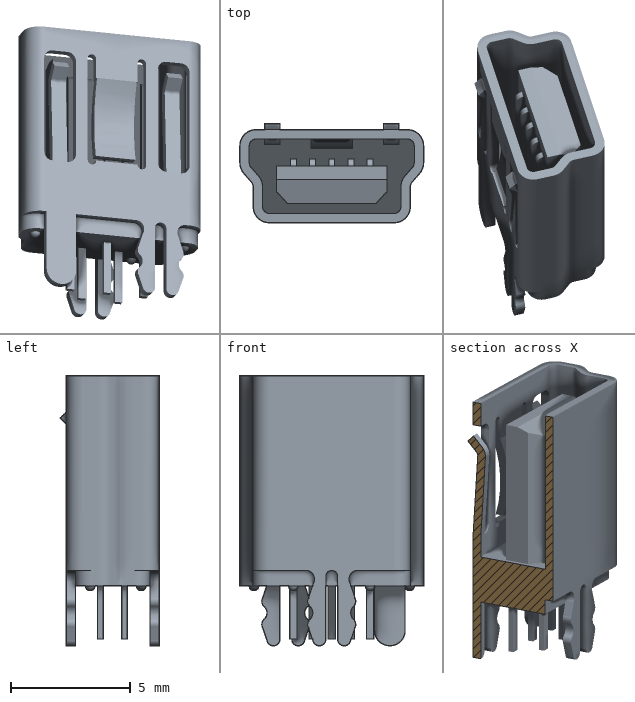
import cadquery as cq
import math


shell_depth = 3.9
half_wide = 7.7 / 2
half_narrow = 3.29
wall = 0.4
top_z = 11.3
bottom_z = 2.51
step_z = 3.15
wide_end_y = 2.26
narrow_start_y = 1.62
corner_radius = 0.68
shoulder_radius = 0.7
waist_radius = 0.3
foot_corner_radius = 0.62
back_inner_y = shell_depth - wall

floor_z = 4.52
tongue_half = 2.32
tongue_back_y = 2.37
tongue_ridge_y = 1.82
tongue_front_y = 0.8
tongue_top_z = 10.49
tongue_slope_drop = 0.34
tongue_chamfer_x = 0.47
tongue_chamfer_y = 0.51

contact_count = 5
contact_pitch = 0.8
contact_width = 0.25
contact_bulge = 0.29
contact_top_z = 9.72
pin_width = 0.32
pin_thickness = 0.25
pin_bottom_z = 0.28
back_pin_y = 2.46
front_pin_y = 1.46

dome_radius = 0.2
dome_places = [(3.25, 2.89), (1.6, 0.76)]

forked_back_x = -1.92
blade_x = 2.43
blade_half = 0.64
fork_gap_half = 0.25
fork_notch_radius = 0.36
fork_notch_x = 1.08
neck_z = 2.61
prong_tip_x = 0.79
prong_tip_z = 0.23
barb_x = 1.01
barb_mid_z = 1.38
barb_peak_rise = 0.51
barb_flank_x = 0.97
barb_flank_rise = 0.62
barb_valley_x = 0.79
barb_inflection_x = 0.89
barb_inflection_rise = 0.25

slit_width = 0.37
slit_top_z = 10.28
slit_bottom_z = 5.42
hook_x = 2.49
hook_width = 0.64
hook_crest_y = 3.28
hook_bend_y = 3.45
hook_tip_y = 4.15
hook_tip_z = 9.53
hook_angle = math.radians(45)
latch_root_width = 1.81
latch_width = 1.74
latch_root_z = 9.27
latch_crest_y = 3.14
latch_crest_z = 6.78
latch_tip_z = 5.88
latch_tip_y = 3.33


def prism_x(profile, width, x=0.0):
    """Extrude a closed YZ profile across X, centred on x."""
    return profile.extrude(width / 2, both=True).translate((x, 0, 0))


def body_block(inset_y, end_radius, z_low, z_high):
    """Stepped outline of the body, with its front and back faces moved inwards by inset_y."""
    front_y = inset_y
    back_y = shell_depth - inset_y
    side = [
        (half_narrow, front_y),
        (half_narrow, narrow_start_y),
        (half_wide, wide_end_y),
        (half_wide, back_y),
    ]
    outline = side + [(-x, y) for x, y in reversed(side)]
    block = cq.Workplane("XY").workplane(offset=z_low).polyline(outline).close().extrude(z_high - z_low)
    radii = [end_radius, waist_radius, shoulder_radius, end_radius]
    for (x, y), radius in zip(side, radii):
        for corner_x in (x, -x):
            corner = cq.selectors.NearestToPointSelector((corner_x, y, (z_low + z_high) / 2))
            block = block.edges("|Z").edges(corner).fillet(radius)
    return block


def make_shell():
    """Body with its inset foot, and the cavity open at the top."""
    upper = body_block(0, corner_radius, step_z, top_z)
    foot = body_block(wall, foot_corner_radius, bottom_z, step_z)
    cavity = upper.faces(">Z").wires().toPending().workplane().offset2D(-wall).extrude(
        floor_z - top_z, combine=False
    )
    return upper.cut(cavity).union(foot)


def make_tongue():
    """Tongue with a top that slopes down to the front and two chamfered front corners."""
    side = (
        cq.Workplane("YZ")
        .moveTo(tongue_back_y, floor_z)
        .lineTo(tongue_back_y, tongue_top_z)
        .lineTo(tongue_ridge_y, tongue_top_z)
        .lineTo(tongue_front_y, tongue_top_z - tongue_slope_drop)
        .lineTo(tongue_front_y, floor_z)
        .close()
    )
    chamfer_end_x = tongue_half - tongue_chamfer_x
    chamfer_end_y = tongue_front_y + tongue_chamfer_y
    plan = (
        cq.Workplane("XY")
        .polyline([
            (-tongue_half, tongue_back_y),
            (-tongue_half, chamfer_end_y),
            (-chamfer_end_x, tongue_front_y),
            (chamfer_end_x, tongue_front_y),
            (tongue_half, chamfer_end_y),
            (tongue_half, tongue_back_y),
        ])
        .close()
        .extrude(top_z)
    )
    return prism_x(side, 2 * tongue_half).intersect(plan)


def make_contacts():
    """Spring contacts behind the tongue; their pins alternate between two rows."""
    contacts = cq.Workplane("XY")
    for index in range(contact_count):
        x = (index - (contact_count - 1) / 2) * contact_pitch
        spring = (
            cq.Workplane("YZ")
            .moveTo(tongue_back_y, floor_z)
            .lineTo(tongue_back_y, contact_top_z)
            .radiusArc((tongue_back_y + contact_bulge, contact_top_z - contact_bulge), contact_bulge)
            .lineTo(tongue_back_y + contact_bulge, floor_z)
            .close()
        )
        pin_y = back_pin_y if index % 2 == 0 else front_pin_y
        pin = (
            cq.Workplane("XY")
            .workplane(offset=pin_bottom_z)
            .center(x, pin_y)
            .rect(pin_width, pin_thickness)
            .extrude(step_z - pin_bottom_z)
        )
        contacts = contacts.add(prism_x(spring, contact_width, x)).add(pin)
    return contacts.combine()


def make_domes():
    """Round standoffs half sunk into the underside of the body."""
    domes = cq.Workplane("XY")
    for x, y in dome_places:
        for side in (1, -1):
            domes = domes.add(cq.Workplane("XY").sphere(dome_radius).translate((side * x, y, bottom_z)))
    return domes.combine()


def make_prong():
    """Right-hand prong of a forked leg, from its rounded tip up to the shell."""
    notch_z = step_z - fork_notch_radius
    neck_x = fork_notch_x - math.sqrt(fork_notch_radius**2 - (notch_z - neck_z) ** 2)
    gap_top_z = step_z - fork_gap_half
    tip_middle_x = (fork_gap_half + prong_tip_x) / 2
    return (
        cq.Workplane("XZ")
        .moveTo(0, step_z)
        .lineTo(fork_notch_x, step_z)
        .threePointArc((fork_notch_x - fork_notch_radius, notch_z), (neck_x, neck_z))
        .lineTo(barb_flank_x, barb_mid_z + barb_flank_rise)
        .threePointArc(
            (barb_x, barb_mid_z + barb_peak_rise),
            (barb_inflection_x, barb_mid_z + barb_inflection_rise),
        )
        .threePointArc(
            (barb_valley_x, barb_mid_z),
            (barb_inflection_x, barb_mid_z - barb_inflection_rise),
        )
        .threePointArc(
            (barb_x, barb_mid_z - barb_peak_rise),
            (barb_flank_x, barb_mid_z - barb_flank_rise),
        )
        .lineTo(prong_tip_x, prong_tip_z)
        .threePointArc((tip_middle_x, 0), (fork_gap_half, prong_tip_z))
        .lineTo(fork_gap_half, gap_top_z)
        .radiusArc((0, step_z), -fork_gap_half)
        .close()
        .extrude(-wall)
    )


def make_forked_leg():
    """Two mirrored prongs, joined above the gap between them."""
    prong = make_prong()
    return prong.add(prong.mirror("YZ")).combine()


def make_blade_leg():
    """Plain leg with a half-round tip."""
    return (
        cq.Workplane("XZ")
        .moveTo(-blade_half, step_z)
        .lineTo(-blade_half, blade_half)
        .threePointArc((0, 0), (blade_half, blade_half))
        .lineTo(blade_half, step_z)
        .close()
        .extrude(-wall)
    )


def hook_window(x):
    """Window around one hook, with rounded corners."""
    height = slit_top_z - slit_bottom_z
    return (
        cq.Workplane("XZ", origin=(x, back_inner_y, slit_bottom_z + height / 2))
        .rect(hook_width + 2 * slit_width, height)
        .extrude(-wall)
        .edges("|Y")
        .fillet(slit_width)
    )


def make_hook(x):
    """Finger that rises from the wall, bulges into the cavity and bends outwards past the wall."""
    sine = math.sin(hook_angle)
    cosine = math.cos(hook_angle)
    end_inner_y = hook_tip_y - wall * sine
    end_inner_z = hook_tip_z + wall * cosine
    bend_radius = (hook_bend_y - hook_crest_y) / (1 - cosine)
    bend_end_z = end_inner_z - (end_inner_y - hook_bend_y) / math.tan(hook_angle)
    crest_z = bend_end_z - bend_radius * sine
    bend_center_y = hook_crest_y + bend_radius
    outer_radius = bend_radius - wall
    outer_end = (bend_center_y - outer_radius * cosine, crest_z + outer_radius * sine)
    profile = (
        cq.Workplane("YZ")
        .moveTo(back_inner_y, slit_bottom_z)
        .lineTo(hook_crest_y, crest_z)
        .radiusArc((hook_bend_y, bend_end_z), bend_radius)
        .lineTo(end_inner_y, end_inner_z)
        .lineTo(hook_tip_y, hook_tip_z)
        .lineTo(*outer_end)
        .radiusArc((bend_center_y - outer_radius, crest_z), -outer_radius)
        .lineTo(shell_depth, slit_bottom_z)
        .close()
    )
    return prism_x(profile, hook_width, x)


def latch_opening():
    """Round-ended slits on both sides of the latch, and the gap that its bend leaves in the wall."""
    height = slit_top_z - slit_bottom_z
    slit_x = (latch_root_width + slit_width) / 2
    slits = (
        cq.Workplane("XZ", origin=(0, back_inner_y, slit_bottom_z + height / 2))
        .pushPoints([(-slit_x, 0), (slit_x, 0)])
        .slot2D(height, slit_width, 90)
        .extrude(-wall)
    )
    gap_bottom_z = slit_bottom_z + slit_width / 2
    gap = cq.Workplane("XY", origin=(0, back_inner_y, gap_bottom_z)).box(
        latch_root_width + slit_width, wall, latch_root_z - gap_bottom_z, centered=(True, False, False)
    )
    return slits.union(gap)


def make_latch():
    """Finger hanging from the wall between its slits, with a rounded crest inside the cavity."""
    profile = (
        cq.Workplane("YZ")
        .moveTo(back_inner_y, latch_root_z)
        .threePointArc((latch_crest_y, latch_crest_z), (latch_tip_y, latch_tip_z))
        .lineTo(latch_tip_y + wall, latch_tip_z)
        .threePointArc((latch_crest_y + wall, latch_crest_z), (shell_depth, latch_root_z))
        .close()
    )
    return prism_x(profile, latch_width)


result = make_shell()
for finger_x in (-hook_x, hook_x):
    result = result.cut(hook_window(finger_x)).union(make_hook(finger_x))
result = result.cut(latch_opening()).union(make_latch())
result = (
    result.union(make_tongue())
    .union(make_contacts())
    .union(make_domes())
    .union(make_forked_leg())
    .union(make_forked_leg().translate((forked_back_x, back_inner_y, 0)))
    .union(make_blade_leg().translate((blade_x, back_inner_y, 0)))
    .solids()
)